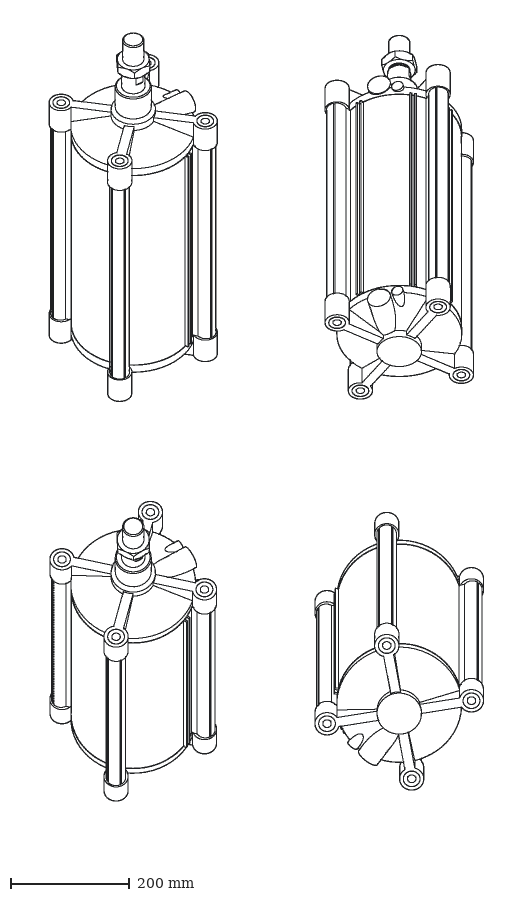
import cadquery as cq
import math

TOTAL_HEIGHT = 708.0
OUTER_WIDTH = 216.0

BOSS_DIAMETER = 41.0
BOSS_OFFSET = (OUTER_WIDTH - BOSS_DIAMETER) / 2
BOSS_RECESS_DIAMETER = 28.0
BOSS_RECESS_DEPTH = 1.0
BOSS_HOLE_DIAMETER = 14.0
CAP_HEIGHT = 49.5
CAP_DIAMETER = 211.0
CAP_RIM_HEIGHT = 16.0
CONE_TOP_HEIGHT = 41.0
COLLAR_DIAMETER = 75.0
RIB_WIDTH = 17.0
SPIGOT_HEIGHT = 6.0
LOWER_CAP_TOP = SPIGOT_HEIGHT + CAP_HEIGHT

PORT_FACE_Y = 107.0
PORT_DIAMETER = 40.0
PORT_X = 10.5
PORT_HEIGHT = 25.0
SIDE_PORT_DIAMETER = 20.0
SIDE_PORT_X = -21.0
SIDE_PORT_HEIGHT = 15.5

BARREL_BOTTOM = LOWER_CAP_TOP
BARREL_TOP = 492.0
BARREL_LENGTH = BARREL_TOP - BARREL_BOTTOM
BARREL_DIAMETER = 209.5
BARREL_BORE = 200.0
LOBE_DIAMETER = 33.0
LOBE_OFFSET = 88.5
LOBE_WEB_WIDTH = 24.0
LOBE_GROOVE_WIDTH = 2.0
LOBE_GROOVE_DEPTH = 1.5
RAIL_ANGLES = (25.5, 64.5, 115.5, 154.5)
RAIL_OUTER_RADIUS = 110.5
RAIL_WIDTH = 11.0
RAIL_SLOT_WIDTH = 5.0

COLLAR_TOP = 547.0
GUIDE_CONE_TOP = 553.0
GUIDE_TOP = 601.0
GUIDE_DIAMETER = 61.0
GUIDE_CHAMFER = 2.0

ROD_DIAMETER = 40.0
ROD_SHOULDER = 636.5
NECK_DIAMETER = 30.0
THREAD_BOTTOM = 641.0
THREAD_DIAMETER = 36.0
THREAD_CHAMFER = 2.0
FLATS_WIDTH = 37.0
FLATS_BOTTOM = 621.0

NUT_BOTTOM = 643.0
NUT_HEIGHT = 20.0
HEX_HALF_ANGLE = 30.0
NUT_FLATS_WIDTH = 54.0
NUT_CORNER_WIDTH = NUT_FLATS_WIDTH / math.cos(math.radians(HEX_HALF_ANGLE))
NUT_CHAMFER_ANGLE = 40.0

DIAGONALS = (45, 135, 225, 315)
CORNERS = [(x, y) for x in (-1, 1) for y in (-1, 1)]


def cylinder(diameter, bottom, top, x=0.0, y=0.0):
    """Vertical cylinder between two heights."""
    return cq.Workplane("XY", origin=(x, y, bottom)).circle(diameter / 2).extrude(top - bottom)


def radial_bar(width, inner, outer, height, angle):
    """Upright bar that reaches outward from the axis at the given angle, standing on Z = 0."""
    bar = cq.Workplane("XY").box(outer - inner, width, height, centered=(True, True, False))
    return bar.translate(((inner + outer) / 2, 0, 0)).rotate((0, 0, 0), (0, 0, 1), angle)


def cap_dome():
    """Rim, cone and central collar as one revolved shape."""
    return (
        cq.Workplane("XZ")
        .moveTo(0, 0)
        .lineTo(CAP_DIAMETER / 2, 0)
        .lineTo(CAP_DIAMETER / 2, CAP_RIM_HEIGHT)
        .lineTo(COLLAR_DIAMETER / 2, CONE_TOP_HEIGHT)
        .lineTo(COLLAR_DIAMETER / 2, CAP_HEIGHT)
        .lineTo(0, CAP_HEIGHT)
        .close()
        .revolve(360, (0, 0), (0, 1))
    )


def port_socket(diameter, x, height):
    """Round socket along Y, from the axis plane out to the port face."""
    return cq.Workplane("XZ", origin=(x, 0, height)).circle(diameter / 2).extrude(-PORT_FACE_Y)


def end_cap():
    """Cap with its barrel face at Z = 0 and its ribs and bosses pointing up."""
    cap = cap_dome()
    for angle in DIAGONALS:
        cap = cap.union(radial_bar(RIB_WIDTH, 0, BOSS_OFFSET * math.sqrt(2), CAP_HEIGHT, angle))
    cap = cap.union(port_socket(PORT_DIAMETER, PORT_X, PORT_HEIGHT))
    cap = cap.union(port_socket(SIDE_PORT_DIAMETER, SIDE_PORT_X, SIDE_PORT_HEIGHT))
    for side_x, side_y in CORNERS:
        center = (side_x * BOSS_OFFSET, side_y * BOSS_OFFSET)
        cap = cap.union(cylinder(BOSS_DIAMETER, 0, CAP_HEIGHT, *center))
        cap = cap.cut(cylinder(BOSS_HOLE_DIAMETER, 0, CAP_HEIGHT, *center))
        recess_floor = CAP_HEIGHT - BOSS_RECESS_DEPTH
        cap = cap.cut(cylinder(BOSS_RECESS_DIAMETER, recess_floor, CAP_HEIGHT, *center))
    return cap


def make_upper_cap():
    """Upper cap with the rod guide and its through bore."""
    cone_height = GUIDE_CONE_TOP - COLLAR_TOP
    cone_inset = (COLLAR_DIAMETER - GUIDE_DIAMETER) / 2
    collar = cylinder(COLLAR_DIAMETER, BARREL_TOP + CAP_HEIGHT, GUIDE_CONE_TOP)
    collar = collar.faces(">Z").edges().chamfer(cone_height, cone_inset)
    guide = cylinder(GUIDE_DIAMETER, GUIDE_CONE_TOP, GUIDE_TOP).faces(">Z").chamfer(GUIDE_CHAMFER)
    cap = end_cap().translate((0, 0, BARREL_TOP)).union(collar).union(guide)
    return cap.cut(cylinder(ROD_DIAMETER, BARREL_TOP, GUIDE_TOP))


def make_lower_cap():
    """Lower cap: the same cap upside down, with a short round spigot below."""
    cap = end_cap().mirror("XY").translate((0, 0, LOWER_CAP_TOP))
    return cap.union(cylinder(COLLAR_DIAMETER, 0, SPIGOT_HEIGHT))


def barrel_lobe(side_x, side_y):
    """Round corner lobe with one narrow groove on each of its two outward sides."""
    x = side_x * LOBE_OFFSET
    y = side_y * LOBE_OFFSET
    lobe = cylinder(LOBE_DIAMETER, 0, BARREL_LENGTH, x, y)
    groove_reach = LOBE_DIAMETER / 2
    groove = cq.Workplane("XY").box(
        2 * LOBE_GROOVE_DEPTH, LOBE_GROOVE_WIDTH, BARREL_LENGTH, centered=(True, True, False)
    )
    lobe = lobe.cut(groove.translate((x + side_x * groove_reach, y, 0)))
    turned_groove = groove.rotate((0, 0, 0), (0, 0, 1), 90)
    return lobe.cut(turned_groove.translate((x, y + side_y * groove_reach, 0)))


def make_barrel():
    """Tube with four webbed lobes and four slotted sensor rails."""
    barrel = cylinder(BARREL_DIAMETER, 0, BARREL_LENGTH)
    wall_middle = (BARREL_DIAMETER + BARREL_BORE) / 4
    web_end = LOBE_OFFSET * math.sqrt(2)
    for angle in DIAGONALS:
        barrel = barrel.union(radial_bar(LOBE_WEB_WIDTH, wall_middle, web_end, BARREL_LENGTH, angle))
    for side_x, side_y in CORNERS:
        barrel = barrel.union(barrel_lobe(side_x, side_y))
    for angle in RAIL_ANGLES:
        rail = radial_bar(RAIL_WIDTH, wall_middle, RAIL_OUTER_RADIUS, BARREL_LENGTH, angle)
        slot = radial_bar(
            RAIL_SLOT_WIDTH, BARREL_DIAMETER / 2, RAIL_OUTER_RADIUS, BARREL_LENGTH, angle
        )
        barrel = barrel.union(rail.cut(slot))
    barrel = barrel.cut(cylinder(BARREL_BORE, 0, BARREL_LENGTH))
    return barrel.translate((0, 0, BARREL_BOTTOM))


def make_rod():
    """Piston rod with two wrench flats facing X, an undercut neck and a threaded end."""
    shank = cylinder(ROD_DIAMETER, BARREL_TOP, ROD_SHOULDER)
    flats_height = ROD_SHOULDER - FLATS_BOTTOM
    flats = cq.Workplane("XY", origin=(0, 0, FLATS_BOTTOM)).box(
        FLATS_WIDTH, ROD_DIAMETER, flats_height, centered=(True, True, False)
    )
    chips = cylinder(ROD_DIAMETER, FLATS_BOTTOM, ROD_SHOULDER).cut(flats)
    neck = cylinder(NECK_DIAMETER, ROD_SHOULDER, THREAD_BOTTOM)
    thread = cylinder(THREAD_DIAMETER, THREAD_BOTTOM, TOTAL_HEIGHT).faces(">Z").chamfer(THREAD_CHAMFER)
    return shank.cut(chips).union(neck).union(thread)


def make_nut():
    """Hexagon nut with flats facing X and both ends chamfered by a cone."""
    hexagon = cq.Workplane("XY").polygon(6, NUT_CORNER_WIDTH).extrude(NUT_HEIGHT)
    hexagon = hexagon.rotate((0, 0, 0), (0, 0, 1), HEX_HALF_ANGLE)
    inset = (NUT_CORNER_WIDTH - NUT_FLATS_WIDTH) / 2
    drop = inset * math.tan(math.radians(NUT_CHAMFER_ANGLE))
    envelope = cylinder(NUT_CORNER_WIDTH, 0, NUT_HEIGHT)
    envelope = envelope.faces("<Z or >Z").edges().chamfer(drop, inset)
    nut = hexagon.intersect(envelope).cut(cylinder(THREAD_DIAMETER, 0, NUT_HEIGHT))
    return nut.translate((0, 0, NUT_BOTTOM))


upper_cap = make_upper_cap()
lower_cap = make_lower_cap()
barrel = make_barrel()
rod = make_rod()
nut = make_nut()

result = cq.Compound.makeCompound(
    [upper_cap.val(), lower_cap.val(), barrel.val(), rod.val(), nut.val()]
)